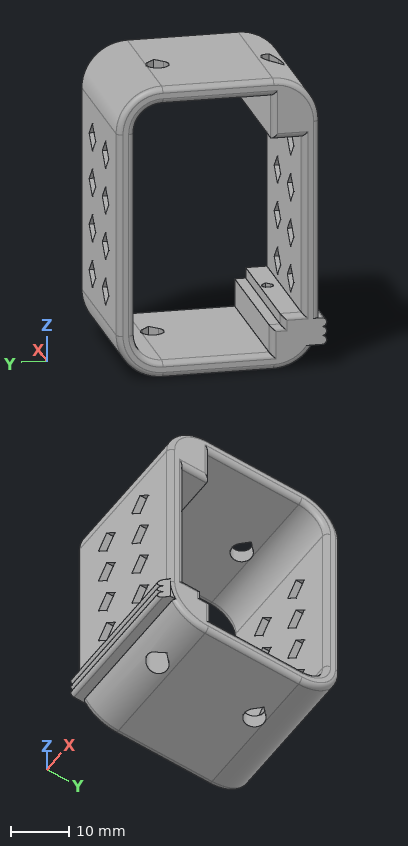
import cadquery as cq
import math


length = 28.0
height = 52.4
total_depth = 36.9
rib_reach = 1.3
depth = total_depth - rib_reach
wall = 3.0
corner_radius = 8.0
inner_radius = corner_radius - wall
edge_fillet = 1.0

top_block_depth = 8.35
top_block_height = 10.8
low_step_depth = 8.65
low_step_height = 7.9
high_step_depth = 6.7
high_step_height = 9.8

rib_count = 3
grip_top = high_step_height - edge_fillet
grip_bottom = 4.0
rib_pitch = (grip_top - grip_bottom) / rib_count
rib_bulge = 0.7
tangent_inset = edge_fillet * (1 - math.sqrt(0.5))
grip_length = length - tangent_inset
grip_bevel = rib_reach + tangent_inset

window_half_diagonal = 2.45
window_columns = 2
window_rows = 4
window_column_pitch = 10.0
window_row_pitch = 8.25
window_center_z = 25.7

hole_radius = 2.0
bore_radius = 1.0
top_hole_x = 12.8
bottom_hole_x = 16.6
rear_hole_y = depth - corner_radius - hole_radius
front_hole_y = 5.3
bore_floor = wall


def make_sleeve():
    """Tube along X with stepped front corners and rounded end edges."""
    outer = (
        cq.Workplane("YZ")
        .rect(depth, height)
        .extrude(length)
        .edges("|X")
        .fillet(corner_radius)
        .translate((0, depth / 2, height / 2))
    )
    inner_back = depth - wall
    inner_top = height - wall
    opening = (
        cq.Workplane("YZ")
        .moveTo(low_step_depth, wall)
        .lineTo(inner_back - inner_radius, wall)
        .radiusArc((inner_back, wall + inner_radius), -inner_radius)
        .lineTo(inner_back, inner_top - inner_radius)
        .radiusArc((inner_back - inner_radius, inner_top), -inner_radius)
        .lineTo(top_block_depth, inner_top)
        .lineTo(top_block_depth, height - top_block_height)
        .lineTo(wall, height - top_block_height)
        .lineTo(wall, high_step_height)
        .lineTo(high_step_depth, high_step_height)
        .lineTo(high_step_depth, low_step_height)
        .lineTo(low_step_depth, low_step_height)
        .close()
        .extrude(length)
    )
    sleeve = outer.cut(opening)
    return sleeve.faces("<X or >X").edges().fillet(edge_fillet)


def make_grip():
    """Bar with round ribs, bevelled at its right end."""
    valley_y = rib_bulge - rib_reach
    outline = cq.Workplane("YZ").moveTo(wall, grip_bottom).lineTo(valley_y, grip_bottom)
    for rib in range(rib_count):
        rib_start = grip_bottom + rib * rib_pitch
        outline = outline.threePointArc(
            (-rib_reach, rib_start + rib_pitch / 2),
            (valley_y, rib_start + rib_pitch),
        )
    bar = outline.lineTo(wall, grip_top).close().extrude(grip_length)
    bevel = (
        cq.Workplane("XY")
        .moveTo(grip_length, -rib_reach)
        .lineTo(grip_length, tangent_inset)
        .lineTo(grip_length - grip_bevel, -rib_reach)
        .close()
        .extrude(grip_top)
    )
    return bar.cut(bevel)


def make_windows():
    """Grid of diamond prisms running through both walls."""
    return (
        cq.Workplane("XZ", origin=(length / 2, depth, window_center_z))
        .rarray(window_column_pitch, window_row_pitch, window_columns, window_rows)
        .polygon(4, 2 * window_half_diagonal)
        .extrude(depth)
    )


def teardrop(radius, x, y, z_low, z_high):
    """Vertical teardrop prism whose 45 degree tip points to +X."""
    tangent = radius / math.sqrt(2)
    return (
        cq.Workplane("XY", origin=(x, y, z_low))
        .moveTo(tangent, tangent)
        .threePointArc((-radius, 0), (tangent, -tangent))
        .lineTo(radius * math.sqrt(2), 0)
        .close()
        .extrude(z_high - z_low)
    )


top_block_bottom = height - top_block_height
holes = [
    teardrop(hole_radius, top_hole_x, rear_hole_y, height - 2 * wall, height),
    teardrop(hole_radius, bottom_hole_x, rear_hole_y, 0, 2 * wall),
    teardrop(hole_radius, top_hole_x, front_hole_y, top_block_bottom + bore_floor, height),
    teardrop(bore_radius, top_hole_x, front_hole_y, top_block_bottom, height),
    teardrop(hole_radius, bottom_hole_x, front_hole_y, 0, high_step_height - bore_floor),
    teardrop(bore_radius, bottom_hole_x, front_hole_y, 0, high_step_height),
]

result = make_sleeve().union(make_grip()).cut(make_windows())
for hole in holes:
    result = result.cut(hole)